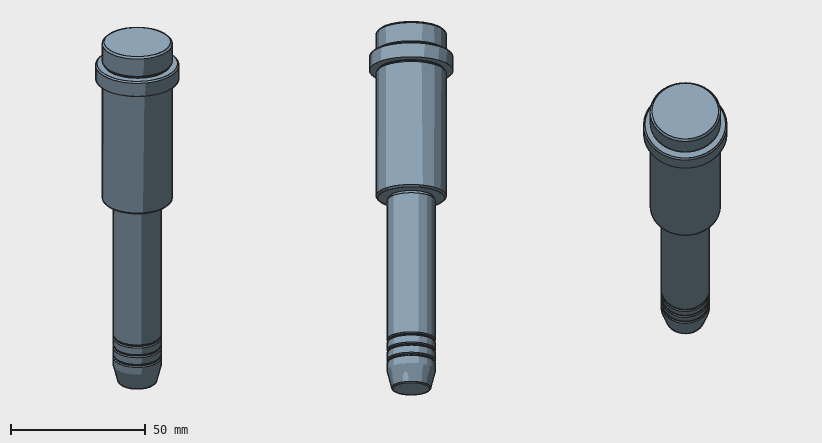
import cadquery as cq

total_length = 140.0
shoulder_z = 75.0
flange_bottom_z = 125.0
flange_top_z = 131.0

flange_radius = 15.47
body_radius = 13.0
body_neck_radius = 12.3
pin_radius = 9.0
pin_neck_radius = 8.3
tip_radius = 7.3

body_chamfer = 0.7
flange_chamfer = 0.5
tip_chamfer = 0.4
taper_length = 7.0
head_neck_height = 0.4
body_neck_height = 0.3
pin_neck_height = 1.1

groove_count = 3
first_groove_z = 10.6
groove_pitch = 4.0
groove_width = 1.3
groove_floor_width = 0.4
groove_depth = 0.4


def turned(half_profile):
    """Revolve (radius, height) points about the Z axis."""
    return cq.Workplane("XZ").polyline(half_profile).close().revolve(360, (0, 0), (0, 1))


def make_shaft():
    body_neck_z = flange_bottom_z - body_neck_height
    head_neck_z = flange_top_z + head_neck_height
    body_neck_slope = body_radius - body_neck_radius
    return turned([
        (0, 0),
        (tip_radius - tip_chamfer, 0),
        (tip_radius, tip_chamfer),
        (pin_radius, taper_length),
        (pin_radius, shoulder_z - pin_neck_height),
        (pin_neck_radius, shoulder_z),
        (body_radius - body_chamfer, shoulder_z),
        (body_radius, shoulder_z + body_chamfer),
        (body_radius, body_neck_z - body_neck_slope),
        (body_neck_radius, body_neck_z),
        (body_neck_radius, flange_bottom_z),
        (flange_radius, flange_bottom_z),
        (flange_radius, flange_top_z - flange_chamfer),
        (flange_radius - flange_chamfer, flange_top_z),
        (body_neck_radius, flange_top_z),
        (body_neck_radius, head_neck_z),
        (body_radius, head_neck_z + body_neck_slope),
        (body_radius, total_length - body_chamfer),
        (body_radius - body_chamfer, total_length),
        (0, total_length),
    ])


def make_groove_cutter(center_z):
    """Ring with sloped side walls that narrows to a flat floor."""
    floor_radius = pin_radius - groove_depth
    return turned([
        (floor_radius, center_z - groove_floor_width / 2),
        (pin_radius, center_z - groove_width / 2),
        (flange_radius, center_z - groove_width / 2),
        (flange_radius, center_z + groove_width / 2),
        (pin_radius, center_z + groove_width / 2),
        (floor_radius, center_z + groove_floor_width / 2),
    ])


result = make_shaft()
for groove_index in range(groove_count):
    groove_z = first_groove_z + groove_index * groove_pitch
    result = result.cut(make_groove_cutter(groove_z))